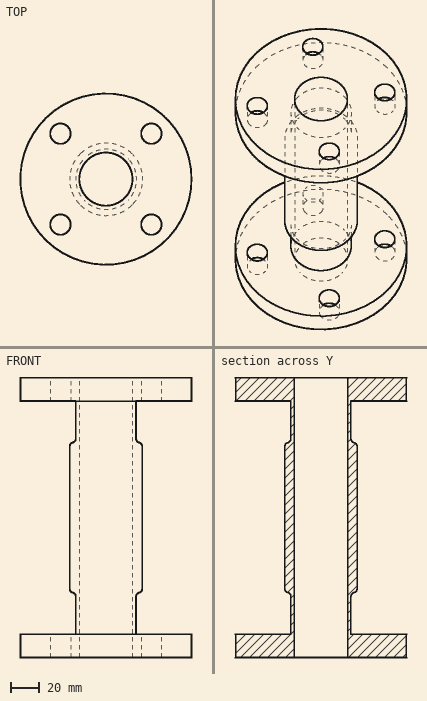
import cadquery as cq
import math

length = 196.0
flange_diameter = 120.0
flange_thickness = 16.5
neck_diameter = 42.3
body_diameter = 51.0
bore_diameter = 37.0
neck_length = 26.3
shoulder_length = 5.5

bolt_count = 4
bolt_hole_diameter = 14.1
bolt_circle_diameter = 90.0
first_bolt_angle = 45.0

flange_radius = flange_diameter / 2
neck_radius = neck_diameter / 2
body_radius = body_diameter / 2
top_z = length / 2
flange_inner_z = top_z - flange_thickness
shoulder_neck_z = flange_inner_z - neck_length
shoulder_body_z = shoulder_neck_z - shoulder_length
shoulder_mid_z = (shoulder_neck_z + shoulder_body_z) / 2
shoulder_mid_radius = (neck_radius + body_radius) / 2


def make_upper_end():
    """Solid upper end: S-shaped shoulder, neck and flange."""
    profile = (
        cq.Workplane("XZ")
        .moveTo(0, top_z)
        .lineTo(flange_radius, top_z)
        .lineTo(flange_radius, flange_inner_z)
        .lineTo(neck_radius, flange_inner_z)
        .lineTo(neck_radius, shoulder_neck_z)
        .tangentArcPoint((shoulder_mid_radius, shoulder_mid_z), relative=False)
        .tangentArcPoint((body_radius, shoulder_body_z), relative=False)
        .lineTo(0, shoulder_body_z)
        .close()
    )
    return profile.revolve(360, (0, 0, 0), (0, 1, 0))


def make_cylinders(diameter, height, centres):
    """Vertical cylinders at the given XY centres, centred on the mid-plane."""
    base = cq.Workplane("XY").workplane(offset=-height / 2)
    return base.pushPoints(centres).circle(diameter / 2).extrude(height)


def bolt_centre(index):
    """XY position of one bolt hole on the bolt circle."""
    angle = math.radians(first_bolt_angle + index * 360 / bolt_count)
    radius = bolt_circle_diameter / 2
    return (radius * math.cos(angle), radius * math.sin(angle))


body = make_cylinders(body_diameter, 2 * shoulder_body_z, [(0, 0)])
upper_end = make_upper_end()
flanged_pipe = body.union(upper_end).union(upper_end.mirror("XY"))

bore = make_cylinders(bore_diameter, length, [(0, 0)])
bolt_centres = [bolt_centre(index) for index in range(bolt_count)]
bolt_holes = make_cylinders(bolt_hole_diameter, length, bolt_centres)

result = flanged_pipe.cut(bore).cut(bolt_holes)